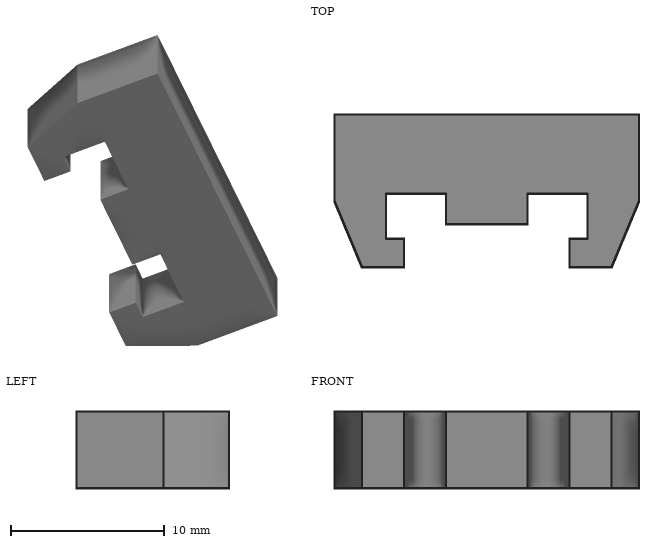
import cadquery as cq

length = 19.8
depth = 9.94
height = 5.0

taper_width = 1.78
taper_depth = 4.28

mouth_width = 10.73
cavity_width = 13.07
hook_depth = 1.86
cavity_top = 4.77
tongue_width = 5.3
tongue_depth = 1.98

half_length = length / 2

body = (
    cq.Workplane("XY")
    .polyline([
        (-half_length, depth),
        (half_length, depth),
        (half_length, taper_depth),
        (half_length - taper_width, 0),
        (-half_length + taper_width, 0),
        (-half_length, taper_depth),
    ])
    .close()
    .extrude(height)
)


def block(width, y_start, y_end):
    """Full-height block centred on X = 0, spanning y_start to y_end."""
    return (
        cq.Workplane("XY")
        .box(width, y_end - y_start, height, centered=(True, False, False))
        .translate((0, y_start, 0))
    )


mouth = block(mouth_width, 0, hook_depth)
cavity = block(cavity_width, hook_depth, cavity_top)
tongue = block(tongue_width, cavity_top - tongue_depth, cavity_top)

result = body.cut(mouth).cut(cavity).union(tongue)